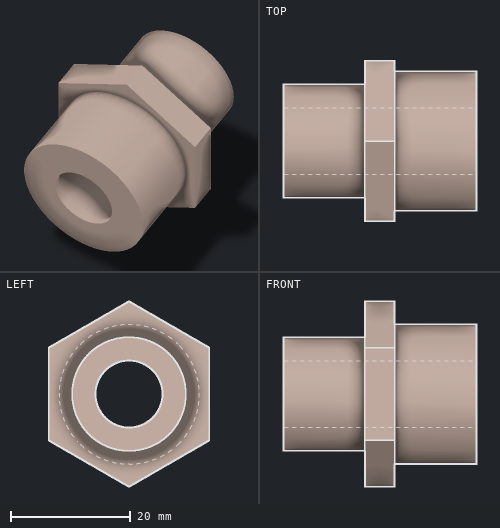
import cadquery as cq

total_length = 32.4
small_end_length = 13.68
hex_width = 5.0
hex_across_corners = 31.15
small_end_diameter = 19.1
large_end_diameter = 23.5
bore_diameter = 11.2

hex_start = small_end_length
hex_end = hex_start + hex_width
large_end_length = total_length - hex_end


def cylinder_along_x(start, length, diameter):
    return cq.Workplane("YZ", origin=(start, 0, 0)).circle(diameter / 2).extrude(length)


hexagon = (
    cq.Workplane("YZ", origin=(hex_start, 0, 0))
    .transformed(rotate=(0, 0, 90))
    .polygon(6, hex_across_corners)
    .extrude(hex_width)
)

small_end = cylinder_along_x(0, small_end_length, small_end_diameter)
large_end = cylinder_along_x(hex_end, large_end_length, large_end_diameter)
bore = cylinder_along_x(0, total_length, bore_diameter)

result = hexagon.union(small_end).union(large_end).cut(bore)